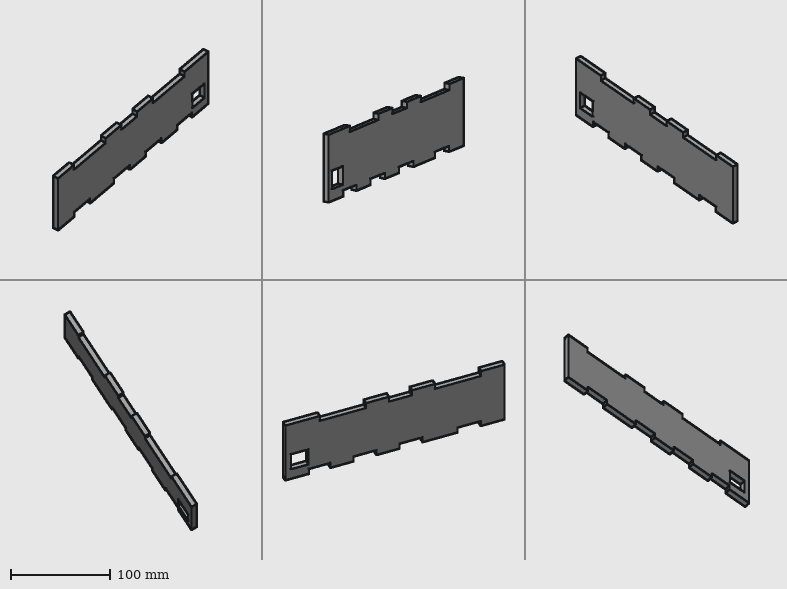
import cadquery as cq

thickness = 6.3
length = 241.3
height = 71.2

notch_depth = thickness
finger = 25.3
long_notch = 2 * finger

top_end_tab = 38.1
second_top_notch = top_end_tab + long_notch + finger
third_top_notch = second_top_notch + 2 * finger
top_notches = [
    (top_end_tab, long_notch),
    (second_top_notch, finger),
    (third_top_notch, long_notch),
]

bottom_end_tab = 26.0
first_bottom_notch_width = 23.6
wide_bottom_tab = 38.5
second_bottom_notch = bottom_end_tab + first_bottom_notch_width + finger
third_bottom_notch = second_bottom_notch + 2 * finger
fourth_bottom_notch = third_bottom_notch + finger + wide_bottom_tab
bottom_notches = [
    (bottom_end_tab, first_bottom_notch_width),
    (second_bottom_notch, finger),
    (third_bottom_notch, finger),
    (fourth_bottom_notch, finger),
]

window_size = 19.3
window_end_margin = thickness
window_bottom_margin = 2 * thickness


def through_cutter(end_distance, bottom_distance, width, tall):
    """Box through the thickness, placed from the +Y end and the bottom edge."""
    y_center = length / 2 - end_distance - width / 2
    z_center = -height / 2 + bottom_distance + tall / 2
    return cq.Workplane("XY").box(thickness, width, tall).translate((0, y_center, z_center))


result = cq.Workplane("XY").box(thickness, length, height)

for end_distance, width in top_notches:
    result = result.cut(through_cutter(end_distance, height - notch_depth, width, notch_depth))

for end_distance, width in bottom_notches:
    result = result.cut(through_cutter(end_distance, 0, width, notch_depth))

result = result.cut(
    through_cutter(window_end_margin, window_bottom_margin, window_size, window_size)
)